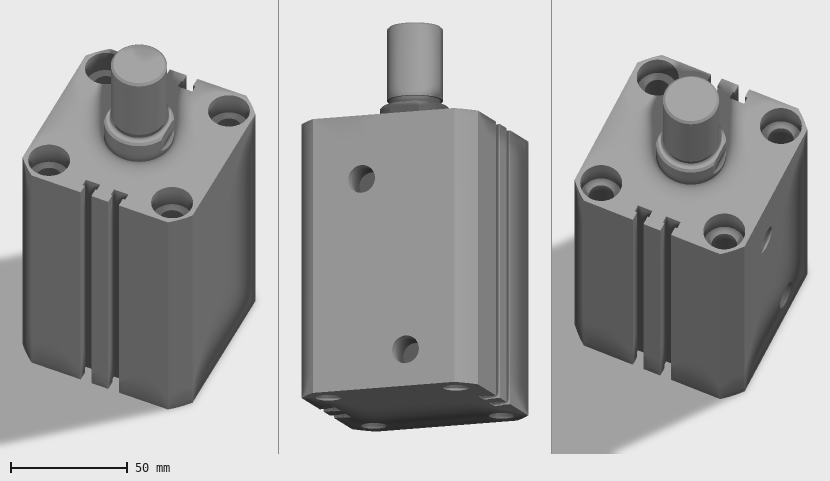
import cadquery as cq

total_height = 166.0
body_width = 80.0
body_height = 120.0

corner_circle_diameter = 102.6

mount_pitch = 58.0
mount_hole_diameter = 11.0
mount_bore_diameter = 18.0
mount_bore_depth = 11.0

slot_offset = 6.5
slot_mouth_width = 5.0
slot_inner_offset = 6.6
slot_inner_width = 6.8
slot_mouth_depth = 4.2
slot_depth = 7.5

port_offset = 10.0
port_upper_height = 92.1
port_lower_height = 16.0
port_diameter = 12.1
port_depth = 13.3
port_end_diameter = 11.3

collar_diameter = 30.0
collar_top = 131.0
collar_flats_width = 27.0
flats_bottom = 123.3
thread_diameter = 24.0
thread_bottom = 134.0
neck_diameter = 22.0
rod_chamfer = 1.0


def slot_cutter():
    """One T-shaped slot, open towards -Y, at +X."""
    side = -body_width / 2
    mouth = (
        cq.Workplane("XY")
        .box(slot_mouth_width, slot_depth, body_height, centered=(True, False, False))
        .translate((slot_offset, side, 0))
    )
    inner = (
        cq.Workplane("XY")
        .box(slot_inner_width, slot_depth - slot_mouth_depth, body_height, centered=(True, False, False))
        .translate((slot_inner_offset, side + slot_mouth_depth, 0))
    )
    return mouth.union(inner)


def port_cutter(y, z):
    """Blind port in the -X face, tapering to a flat floor."""
    return (
        cq.Workplane("XZ")
        .polyline([
            (0, 0),
            (0, port_diameter / 2),
            (port_depth, port_end_diameter / 2),
            (port_depth, 0),
        ])
        .close()
        .revolve(360, (0, 0, 0), (1, 0, 0))
        .translate((-body_width / 2, y, z))
    )


def make_housing():
    block = cq.Workplane("XY").rect(body_width, body_width).extrude(body_height)
    corner_cylinder = cq.Workplane("XY").circle(corner_circle_diameter / 2).extrude(body_height)
    housing = block.intersect(corner_cylinder)

    housing = (
        housing.faces(">Z").workplane(origin=(0, 0, body_height))
        .rect(mount_pitch, mount_pitch, forConstruction=True)
        .vertices()
        .cboreHole(mount_hole_diameter, mount_bore_diameter, mount_bore_depth)
    )

    slot = slot_cutter()
    slot_pair = slot.union(slot.mirror("YZ"))
    for cutter in (slot_pair, slot_pair.mirror("XZ")):
        housing = housing.cut(cutter)

    for y, z in ((port_offset, port_upper_height), (-port_offset, port_lower_height)):
        housing = housing.cut(port_cutter(y, z))
    return housing


def flat_cutter():
    """Wrench flat on the +X side of the collar, ending below in a 45 degree run-out."""
    flat_x = collar_flats_width / 2
    reach = collar_diameter / 2
    return (
        cq.Workplane("XZ")
        .polyline([
            (flat_x, flats_bottom),
            (flat_x, collar_top),
            (flat_x + reach, collar_top),
            (flat_x + reach, flats_bottom - reach),
        ])
        .close()
        .extrude(reach, both=True)
    )


def make_rod():
    """Rod standing on the top face of the housing."""
    collar_radius = collar_diameter / 2
    neck_radius = neck_diameter / 2
    thread_radius = thread_diameter / 2
    rod = (
        cq.Workplane("XZ")
        .polyline([
            (0, body_height),
            (collar_radius, body_height),
            (collar_radius, collar_top - rod_chamfer),
            (collar_radius - rod_chamfer, collar_top),
            (neck_radius, collar_top),
            (neck_radius, thread_bottom),
            (thread_radius, thread_bottom),
            (thread_radius, total_height - rod_chamfer),
            (thread_radius - rod_chamfer, total_height),
            (0, total_height),
        ])
        .close()
        .revolve(360, (0, 0, 0), (0, 1, 0))
    )
    flat = flat_cutter()
    return rod.cut(flat).cut(flat.mirror("YZ"))


housing = make_housing()
rod = make_rod()

result = cq.Compound.makeCompound([housing.val(), rod.val()])